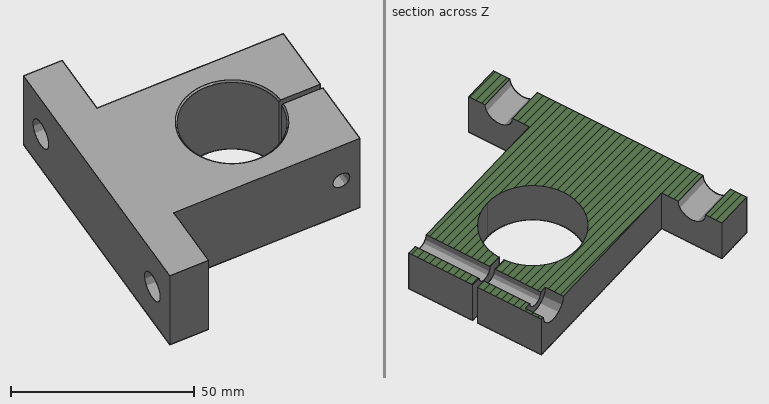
import cadquery as cq

base_length = 84.0
base_thickness = 12.0
height = 28.0

total_depth = 69.8
block_width = 44.0

bore_diameter = 30.0
bore_chamfer = 0.5
bore_y = 42.0

slit_width = 1.5

mount_hole_diameter = 9.0
mount_hole_spacing = 64.0

screw_hole_diameter = 5.2
screw_head_diameter = 9.6
screw_head_depth = 6.0
screw_y = total_depth - 5.8

mid_z = height / 2


def make_body():
    base = cq.Workplane("XY").box(base_length, base_thickness, height, centered=(True, False, False))
    block = cq.Workplane("XY").box(block_width, total_depth, height, centered=(True, False, False))
    return base.union(block)


def cylinder(diameter, length, start, direction):
    return cq.Workplane(cq.Solid.makeCylinder(diameter / 2, length, cq.Vector(*start), cq.Vector(*direction)))


def make_bore():
    bore = cylinder(bore_diameter, height, (0, bore_y, 0), (0, 0, 1))
    rim_radius = bore_diameter / 2 + bore_chamfer
    for rim_z, inward in ((0, 1), (height, -1)):
        rim = cq.Solid.makeCone(
            rim_radius,
            bore_diameter / 2,
            bore_chamfer,
            cq.Vector(0, bore_y, rim_z),
            cq.Vector(0, 0, inward),
        )
        bore = bore.union(cq.Workplane(rim))
    return bore


def make_slit():
    slit = cq.Workplane("XY").box(slit_width, total_depth - bore_y, height, centered=(True, False, False))
    return slit.translate((0, bore_y, 0))


def make_screw_hole():
    start = (-block_width / 2, screw_y, mid_z)
    shank = cylinder(screw_hole_diameter, block_width, start, (1, 0, 0))
    head = cylinder(screw_head_diameter, screw_head_depth, start, (1, 0, 0))
    return shank.union(head)


result = make_body().cut(make_bore()).cut(make_slit()).cut(make_screw_hole())
for side in (-1, 1):
    hole_start = (side * mount_hole_spacing / 2, 0, mid_z)
    result = result.cut(cylinder(mount_hole_diameter, base_thickness, hole_start, (0, 1, 0)))